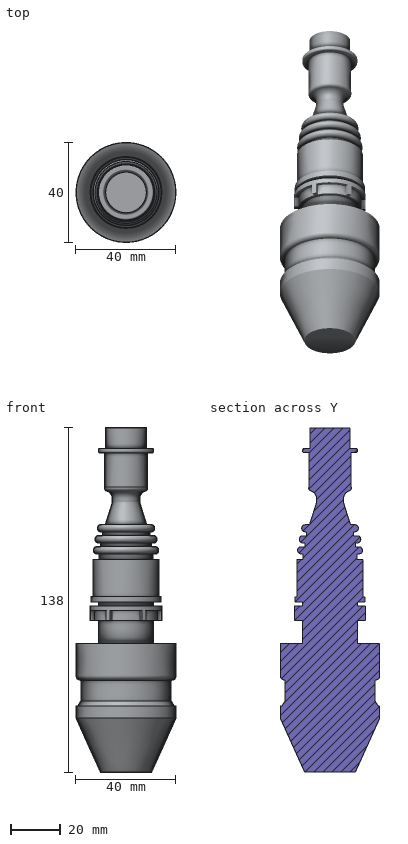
import cadquery as cq
import math


NOSE_RADIUS = 10.2
HEAD_RADIUS = 20.0
NOSE_HEIGHT = 21.7
RIM_TOP = 26.6
RIM_CONE_RADIUS = 19.3
GROOVE_RADIUS = 18.1
GROOVE_BOTTOM = 28.5
GROOVE_TOP = 36.8
HEAD_ROUND = 1.8
HEAD_TOP = 51.6

STEM_RADIUS = 11.0
COLLAR_RADIUS = 14.4
COLLAR_CORE_RADIUS = 12.7
COLLAR_BOTTOM = 60.7
COLLAR_FLANGE_BOTTOM = 64.9
COLLAR_TOP = 66.7
LUG_COUNT = 6
LUG_WIDTH = 1.8
BAND_RADIUS = 14.1
BAND_BOTTOM = 68.2
SLEEVE_RADIUS = 13.2
SLEEVE_BOTTOM = 70.4
SLEEVE_TOP = 85.3

BEAD_ROUND = 1.5
BEAD_PITCH = 4.4
LOWEST_BEAD_HEIGHT = 88.9
BEAD_CENTRE_RADII = (11.6, 10.9, 10.0)
BEAD_CORE_RADII = (10.9, 10.2, 9.5)

FLARE_RADIUS = 8.3
FLARE_CURVE_RADIUS = 7.0
FLARE_CURVE_HEIGHT = 103.1
NECK_RADIUS = 5.5
NECK_BOTTOM = 108.0
NECK_TOP = 109.7

SHANK_RADIUS = 8.5
SHANK_BEND_RADIUS = 7.7
SHANK_BEND_HEIGHT = 112.6
SHANK_BOTTOM = 114.3
FLANGE_RADIUS = 11.0
FLANGE_BOTTOM = 127.9
FLANGE_TOP = 129.7
FLANGE_EDGE_ROUND = 0.5
PIN_RADIUS = 8.1
TOTAL_HEIGHT = 138.0


def cylinder(radius, bottom, top):
    return cq.Workplane("XY").workplane(offset=bottom).circle(radius).extrude(top - bottom)


def revolve_profile(outline):
    """Close an XZ outline along the axis and turn it about Z."""
    return outline.close().revolve(360, (0, 0, 0), (0, 1, 0))


def make_head():
    arc_offset = HEAD_ROUND * math.sqrt(0.5)
    arc_centre_radius = HEAD_RADIUS - HEAD_ROUND
    arc_centre_height = GROOVE_TOP + HEAD_ROUND
    outline = (
        cq.Workplane("XZ")
        .lineTo(NOSE_RADIUS, 0)
        .lineTo(HEAD_RADIUS, NOSE_HEIGHT)
        .lineTo(HEAD_RADIUS, RIM_TOP)
        .lineTo(RIM_CONE_RADIUS, RIM_TOP)
        .lineTo(GROOVE_RADIUS, GROOVE_BOTTOM)
        .lineTo(GROOVE_RADIUS, GROOVE_TOP)
        .lineTo(arc_centre_radius, GROOVE_TOP)
        .threePointArc(
            (arc_centre_radius + arc_offset, arc_centre_height - arc_offset),
            (HEAD_RADIUS, arc_centre_height),
        )
        .lineTo(HEAD_RADIUS, HEAD_TOP)
        .lineTo(0, HEAD_TOP)
    )
    return revolve_profile(outline)


def make_collar():
    """Flange with a ring of lugs below it, standing out from a smaller core."""
    collar = cylinder(COLLAR_RADIUS, COLLAR_FLANGE_BOTTOM, COLLAR_TOP)
    collar = collar.union(cylinder(COLLAR_CORE_RADIUS, COLLAR_BOTTOM, COLLAR_FLANGE_BOTTOM))
    spokes = (
        cq.Workplane("XY")
        .workplane(offset=COLLAR_BOTTOM)
        .polarArray(COLLAR_RADIUS / 2, 0, 360, LUG_COUNT)
        .rect(COLLAR_RADIUS + LUG_WIDTH, LUG_WIDTH)
        .extrude(COLLAR_TOP - COLLAR_BOTTOM, combine=False)
    )
    envelope = cylinder(COLLAR_RADIUS, COLLAR_BOTTOM, COLLAR_TOP)
    return collar.union(spokes.intersect(envelope))


def make_sleeve():
    sleeve = cylinder(STEM_RADIUS, HEAD_TOP, SLEEVE_TOP)
    sleeve = sleeve.union(cylinder(BAND_RADIUS, BAND_BOTTOM, SLEEVE_BOTTOM))
    return sleeve.union(cylinder(SLEEVE_RADIUS, SLEEVE_BOTTOM, SLEEVE_TOP))


def make_upper_end():
    """Beaded section, flared neck and shank as one turned body."""
    outline = cq.Workplane("XZ").moveTo(0, SLEEVE_TOP)
    outline = outline.lineTo(BEAD_CORE_RADII[0], SLEEVE_TOP)
    for index, centre_radius in enumerate(BEAD_CENTRE_RADII):
        height = LOWEST_BEAD_HEIGHT + index * BEAD_PITCH
        outline = (
            outline.lineTo(BEAD_CORE_RADII[index], height - BEAD_ROUND)
            .lineTo(centre_radius, height - BEAD_ROUND)
            .threePointArc((centre_radius + BEAD_ROUND, height), (centre_radius, height + BEAD_ROUND))
        )
        if index + 1 < len(BEAD_CORE_RADII):
            outline = outline.lineTo(BEAD_CORE_RADII[index + 1], height + BEAD_ROUND)
    beads_top = LOWEST_BEAD_HEIGHT + (len(BEAD_CENTRE_RADII) - 1) * BEAD_PITCH + BEAD_ROUND

    outline = (
        outline.lineTo(FLARE_RADIUS, beads_top)
        .lineTo(FLARE_CURVE_RADIUS, FLARE_CURVE_HEIGHT)
        .tangentArcPoint((NECK_RADIUS, NECK_BOTTOM), relative=False)
        .lineTo(NECK_RADIUS, NECK_TOP)
        .tangentArcPoint((SHANK_BEND_RADIUS, SHANK_BEND_HEIGHT), relative=False)
        .tangentArcPoint((SHANK_RADIUS, SHANK_BOTTOM), relative=False)
        .lineTo(SHANK_RADIUS, FLANGE_BOTTOM)
        .lineTo(0, FLANGE_BOTTOM)
    )
    return revolve_profile(outline)


def make_end_pin():
    flange = cylinder(FLANGE_RADIUS, FLANGE_BOTTOM, FLANGE_TOP).edges().fillet(FLANGE_EDGE_ROUND)
    return flange.union(cylinder(PIN_RADIUS, FLANGE_BOTTOM, TOTAL_HEIGHT))


result = (
    make_head()
    .union(make_sleeve())
    .union(make_collar())
    .union(make_upper_end())
    .union(make_end_pin())
)